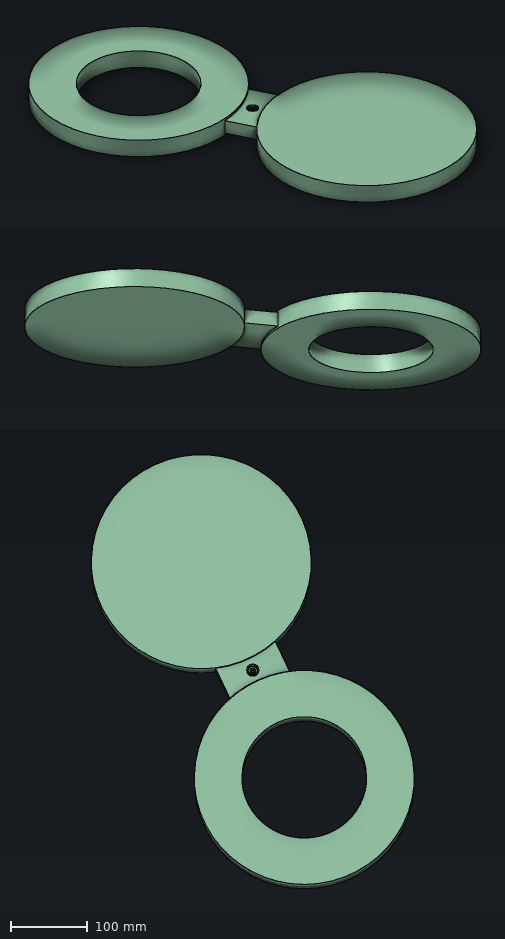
import cadquery as cq

overall_length = 603.0
disc_diameter = 286.0
plate_thickness = 25.5
ring_bore = 161.5
web_width = 85.5
web_thickness = 19.5

hole_diameters = (15.5, 12.0, 7.0, 3.5)
hole_step_depth = 2.5

plate_offset = (overall_length - disc_diameter) / 2


def disc(diameter, x):
    """Vertical cylinder as thick as the plates, centred on the mid-plane."""
    return cq.Workplane("XY").center(x, 0).circle(diameter / 2).extrude(plate_thickness / 2, both=True)


def stepped_hole():
    """Cutting body of concentric steps, each one step deeper than the wider one around it."""
    top = cq.Workplane("XY").workplane(offset=web_thickness / 2)
    body = cq.Workplane("XY")
    for step, diameter in enumerate(hole_diameters, start=1):
        body = body.add(top.circle(diameter / 2).extrude(-step * hole_step_depth))
    return body.combine()


blank = disc(disc_diameter, plate_offset)
ring = disc(disc_diameter, -plate_offset)
bore = disc(ring_bore, -plate_offset)

web = cq.Workplane("XY").box(2 * plate_offset, web_width, web_thickness)

result = blank.union(ring).union(web).cut(bore).cut(stepped_hole())